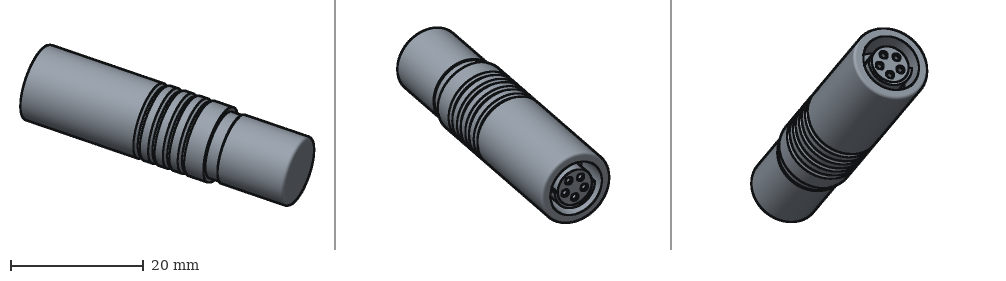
import math

import cadquery as cq

TOTAL_LENGTH = 44.0
BODY_RADIUS = 6.0
BODY_LENGTH = 30.8
NECK_RADIUS = 5.3
NECK_LENGTH = 2.1
TAIL_RADIUS = 5.5
FRONT_FILLET = 0.45
TAIL_FILLET = 0.5

GROOVE_COUNT = 4
GROOVE_START = 19.1
GROOVE_PITCH = 2.47
GROOVE_RAMP_LENGTH = 0.55
GROOVE_DEPTH = 0.35
GROOVE_WIDTH = 1.08

BORE_RADIUS = 4.5
BORE_DEPTH = 6.0
FACE_RECESS = 0.4
INSERT_RADIUS = 3.0
KEY_RADIUS = 3.5
KEY_RECESS = 0.35

CONTACT_COUNT = 5
CONTACT_CIRCLE_RADIUS = 1.75
CONTACT_RADIUS = 0.45
CONTACT_DEPTH = 3.0
COUNTERBORE_RADIUS = 0.62
COUNTERBORE_DEPTH = 0.25


def cylinder(start, length, radius, y=0.0, z=0.0):
    """Cylinder along +X whose first face is centred on (start, y, z)."""
    return cq.Workplane(cq.Solid.makeCylinder(radius, length, cq.Vector(start, y, z), cq.Vector(1, 0, 0)))


def lower_half_ring(start, length, inner_radius, outer_radius):
    """Half of a ring along +X, keeping the side below the XY plane."""
    ring = cylinder(start, length, outer_radius).cut(cylinder(start, length, inner_radius))
    lower_half = cq.Workplane().box(length, 2 * outer_radius, outer_radius, centered=(False, True, False))
    return ring.intersect(lower_half.translate((start, 0, -outer_radius)))


def make_body():
    tail_start = BODY_LENGTH + NECK_LENGTH
    tail_length = TOTAL_LENGTH - tail_start
    front = cylinder(0, BODY_LENGTH, BODY_RADIUS).faces("<X").edges().fillet(FRONT_FILLET)
    neck = cylinder(BODY_LENGTH, NECK_LENGTH, NECK_RADIUS)
    tail = cylinder(tail_start, tail_length, TAIL_RADIUS).faces(">X").edges().fillet(TAIL_FILLET)
    return front.union(neck).union(tail)


def make_groove(start):
    floor_radius = BODY_RADIUS - GROOVE_DEPTH
    arc_start = start + GROOVE_RAMP_LENGTH
    arc_length = GROOVE_WIDTH - GROOVE_RAMP_LENGTH
    arc_radius = (arc_length**2 + GROOVE_DEPTH**2) / (2 * GROOVE_DEPTH)
    half_sweep = math.asin(arc_length / arc_radius) / 2
    arc_middle = (
        arc_start + arc_radius * math.sin(half_sweep),
        floor_radius + arc_radius * (1 - math.cos(half_sweep)),
    )
    return (
        cq.Workplane("XY")
        .moveTo(start, BODY_RADIUS)
        .lineTo(arc_start, floor_radius)
        .threePointArc(arc_middle, (start + GROOVE_WIDTH, BODY_RADIUS))
        .close()
        .revolve(360, (0, 0, 0), (1, 0, 0))
    )


def make_socket():
    """Annular cavity that leaves the insert and its key standing."""
    insert = cylinder(FACE_RECESS, BORE_DEPTH - FACE_RECESS, INSERT_RADIUS)
    key = lower_half_ring(KEY_RECESS, BORE_DEPTH - KEY_RECESS, INSERT_RADIUS, KEY_RADIUS)
    return cylinder(0, BORE_DEPTH, BORE_RADIUS).cut(insert).cut(key)


def make_contact_hole(index):
    angle = math.radians(index * 360 / CONTACT_COUNT - 90)
    y = CONTACT_CIRCLE_RADIUS * math.cos(angle)
    z = CONTACT_CIRCLE_RADIUS * math.sin(angle)
    hole = cylinder(FACE_RECESS, CONTACT_DEPTH, CONTACT_RADIUS, y, z)
    return hole.union(cylinder(FACE_RECESS, COUNTERBORE_DEPTH, COUNTERBORE_RADIUS, y, z))


result = make_body()
for groove_index in range(GROOVE_COUNT):
    result = result.cut(make_groove(GROOVE_START + groove_index * GROOVE_PITCH))
result = result.cut(make_socket())
for contact_index in range(CONTACT_COUNT):
    result = result.cut(make_contact_hole(contact_index))